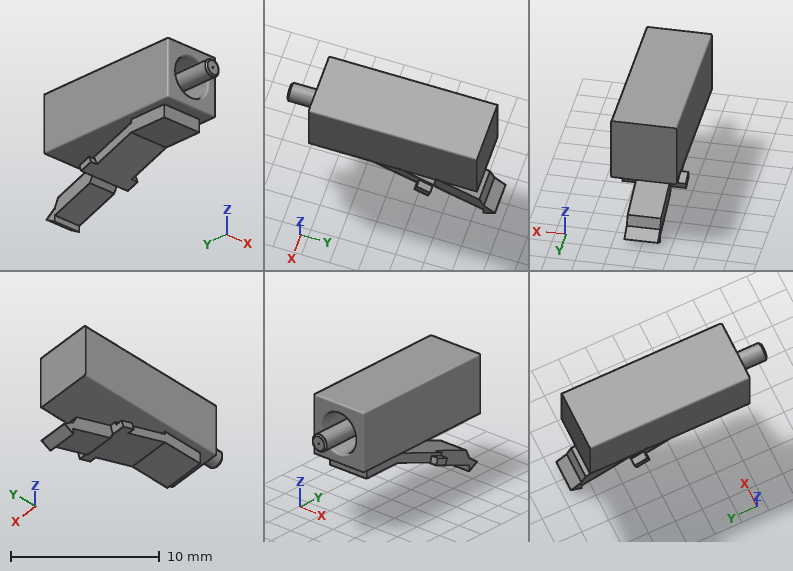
import cadquery as cq
import math

housing_side = 4.5
housing_length = 11.93
edge_radius = 0.13
axis_height = housing_side / 2

bore_diameter = 3.04
bore_depth = 8.93
pin_diameter = 1.28
pin_chamfer = 0.12
fibre_hole_diameter = 0.06
overall_length = 14.89

latch_width = 3.28
wing_span = 4.36
wing_thickness = 0.49
wing_length = 1.01
tail_width = 2.3
tail_drop = 0.35
tail_pad_start = 4.91
arm_slope = math.radians(20)
foot_front = 0.98
foot_height = 0.98
bend_y = 4.17
bend_top = -0.24
arm_thickness = (foot_height + bend_top) * math.cos(arm_slope)
arm_length = 4.54
tail_shoulder = 7.8
hook_root_y = 12.03
hook_notch_y = 12.06
hook_tip_y = 12.85
hook_tip_z = -4.26
hook_notch_z = -3.68
hook_bottom_z = -4.69
tail_pad_end = (hook_root_y - bend_y + tail_drop * math.sin(arm_slope)) / math.cos(arm_slope)
pin_overhang = overall_length - hook_tip_y


def along_arm(distance, offset=0):
    """Point on the arm's underside at a distance from the bend, raised square to the slope."""
    return (
        bend_y + distance * math.cos(arm_slope) + offset * math.sin(arm_slope),
        -foot_height - distance * math.sin(arm_slope) + offset * math.cos(arm_slope),
    )


def extrude_across(points, width):
    """Side profile of (Y, Z) points extruded symmetrically about X = 0."""
    return cq.Workplane("YZ").polyline(points).close().extrude(width / 2, both=True)


def make_housing():
    block = cq.Workplane("XY").box(
        housing_side, housing_length, housing_side, centered=(True, False, False)
    )
    block = block.edges("|Y or <Y").fillet(edge_radius)
    bore = (
        cq.Workplane("XZ", origin=(0, 0, axis_height))
        .circle(bore_diameter / 2)
        .extrude(-bore_depth)
    )
    bored = block.cut(bore)
    return bored.faces("<Y").edges("%CIRCLE").fillet(edge_radius)


def make_pin():
    pin = (
        cq.Workplane("XZ", origin=(0, bore_depth, axis_height))
        .circle(pin_diameter / 2)
        .extrude(bore_depth + pin_overhang)
    )
    pin = pin.faces("<Y").chamfer(pin_chamfer)
    fibre_hole = (
        cq.Workplane("XZ", origin=(0, bore_depth, axis_height))
        .circle(fibre_hole_diameter / 2)
        .extrude(bore_depth + pin_overhang)
    )
    return pin.cut(fibre_hole)


def make_foot_and_arm():
    return extrude_across(
        [
            (foot_front, 0),
            (foot_front, -foot_height),
            (bend_y, -foot_height),
            along_arm(arm_length),
            along_arm(arm_length, arm_thickness),
            (bend_y, bend_top),
            (bend_y, 0),
        ],
        latch_width,
    )


def make_wings():
    wing_start = arm_length - wing_length
    return extrude_across(
        [
            along_arm(wing_start),
            along_arm(arm_length),
            along_arm(arm_length, wing_thickness),
            along_arm(wing_start, wing_thickness),
        ],
        wing_span,
    )


def make_tail():
    return extrude_across(
        [
            along_arm(arm_length, arm_thickness),
            along_arm(arm_length),
            along_arm(tail_pad_start, -tail_drop),
            along_arm(tail_pad_end, -tail_drop),
            (hook_root_y, hook_bottom_z),
            (hook_tip_y, hook_tip_z),
            (hook_notch_y, hook_notch_z),
            along_arm(tail_shoulder, arm_thickness),
        ],
        tail_width,
    )


result = (
    make_housing()
    .union(make_pin())
    .union(make_foot_and_arm())
    .union(make_wings())
    .union(make_tail())
)